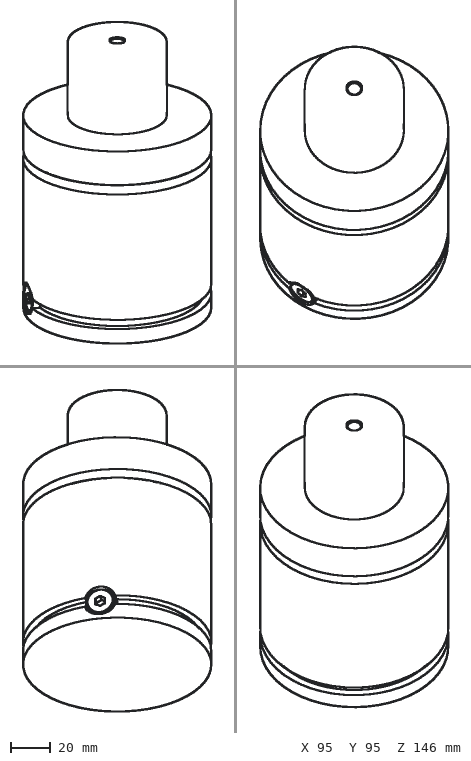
import cadquery as cq
import math

BODY_RADIUS = 95.0 / 2
ROD_RADIUS = 50.0 / 2
TOTAL_HEIGHT = 146.0
BODY_HEIGHT = 105.0
ROD_EDGE_RADIUS = 1.0

ROUND_GROOVE_RADIUS = 2.5
ROUND_GROOVE_Z = 84.0

SQUARE_GROOVE_BOTTOM = 8.0
SQUARE_GROOVE_WIDTH = 5.0
SQUARE_GROOVE_DEPTH = 4.0
SQUARE_GROOVE_FLOOR_RADIUS = BODY_RADIUS - SQUARE_GROOVE_DEPTH

ROD_HOLE_RADIUS = 6.8 / 2
ROD_HOLE_MOUTH_RADIUS = 8.0 / 2
ROD_HOLE_DEPTH = 16.0
DRILL_POINT_ANGLE = 118.0

PLUG_Z = SQUARE_GROOVE_BOTTOM + SQUARE_GROOVE_WIDTH / 2
RECESS_RADIUS = 8.0
RECESS_FLOOR_DISTANCE = 42.0
PLUG_RADIUS = 7.0
PLUG_FACE_DISTANCE = 46.95
PLUG_CHAMFER = 0.5
HEX_ACROSS_FLATS = 5.0
HEX_DEPTH = 4.0


def make_cylinder_and_rod():
    """Body and rod turned from one half profile, both outer grooves included."""
    profile = (
        cq.Workplane("XZ")
        .moveTo(0, 0)
        .lineTo(-BODY_RADIUS, 0)
        .lineTo(-BODY_RADIUS, SQUARE_GROOVE_BOTTOM)
        .lineTo(-SQUARE_GROOVE_FLOOR_RADIUS, SQUARE_GROOVE_BOTTOM)
        .lineTo(-SQUARE_GROOVE_FLOOR_RADIUS, SQUARE_GROOVE_BOTTOM + SQUARE_GROOVE_WIDTH)
        .lineTo(-BODY_RADIUS, SQUARE_GROOVE_BOTTOM + SQUARE_GROOVE_WIDTH)
        .lineTo(-BODY_RADIUS, ROUND_GROOVE_Z - ROUND_GROOVE_RADIUS)
        .threePointArc(
            (-BODY_RADIUS + ROUND_GROOVE_RADIUS, ROUND_GROOVE_Z),
            (-BODY_RADIUS, ROUND_GROOVE_Z + ROUND_GROOVE_RADIUS),
        )
        .lineTo(-BODY_RADIUS, BODY_HEIGHT)
        .lineTo(-ROD_RADIUS, BODY_HEIGHT)
        .lineTo(-ROD_RADIUS, TOTAL_HEIGHT)
        .lineTo(0, TOTAL_HEIGHT)
        .close()
    )
    turned = profile.revolve(360, (0, 0, 0), (0, 1, 0))
    return turned.faces(">Z").edges().fillet(ROD_EDGE_RADIUS)


def make_rod_hole():
    """Blind drilled hole with a 45 degree mouth chamfer and a conical bottom."""
    mouth_depth = ROD_HOLE_MOUTH_RADIUS - ROD_HOLE_RADIUS
    floor_z = TOTAL_HEIGHT - ROD_HOLE_DEPTH
    point_depth = ROD_HOLE_RADIUS / math.tan(math.radians(DRILL_POINT_ANGLE / 2))
    return (
        cq.Workplane("XZ")
        .moveTo(0, TOTAL_HEIGHT)
        .lineTo(-ROD_HOLE_MOUTH_RADIUS, TOTAL_HEIGHT)
        .lineTo(-ROD_HOLE_RADIUS, TOTAL_HEIGHT - mouth_depth)
        .lineTo(-ROD_HOLE_RADIUS, floor_z)
        .lineTo(0, floor_z - point_depth)
        .close()
        .revolve(360, (0, 0, 0), (0, 1, 0))
    )


def plug_plane(distance):
    """Workplane facing -Y, centred on the plug at the given distance from the body axis."""
    return cq.Workplane("XZ", origin=(0, -distance, PLUG_Z))


def add_filling_plug(body):
    """Round recess in the body wall, holding a chamfered plug with a hex socket."""
    recess = (
        plug_plane(RECESS_FLOOR_DISTANCE)
        .circle(RECESS_RADIUS)
        .extrude(BODY_RADIUS - RECESS_FLOOR_DISTANCE)
    )
    plug = (
        plug_plane(RECESS_FLOOR_DISTANCE)
        .circle(PLUG_RADIUS)
        .extrude(PLUG_FACE_DISTANCE - RECESS_FLOOR_DISTANCE)
        .faces("<Y")
        .edges()
        .chamfer(PLUG_CHAMFER)
    )
    across_corners = HEX_ACROSS_FLATS / math.cos(math.pi / 6)
    socket = (
        plug_plane(PLUG_FACE_DISTANCE)
        .transformed(rotate=(0, 0, 90))
        .polygon(6, across_corners)
        .extrude(-HEX_DEPTH)
    )
    return body.cut(recess).union(plug).cut(socket)


result = add_filling_plug(make_cylinder_and_rod().cut(make_rod_hole()))